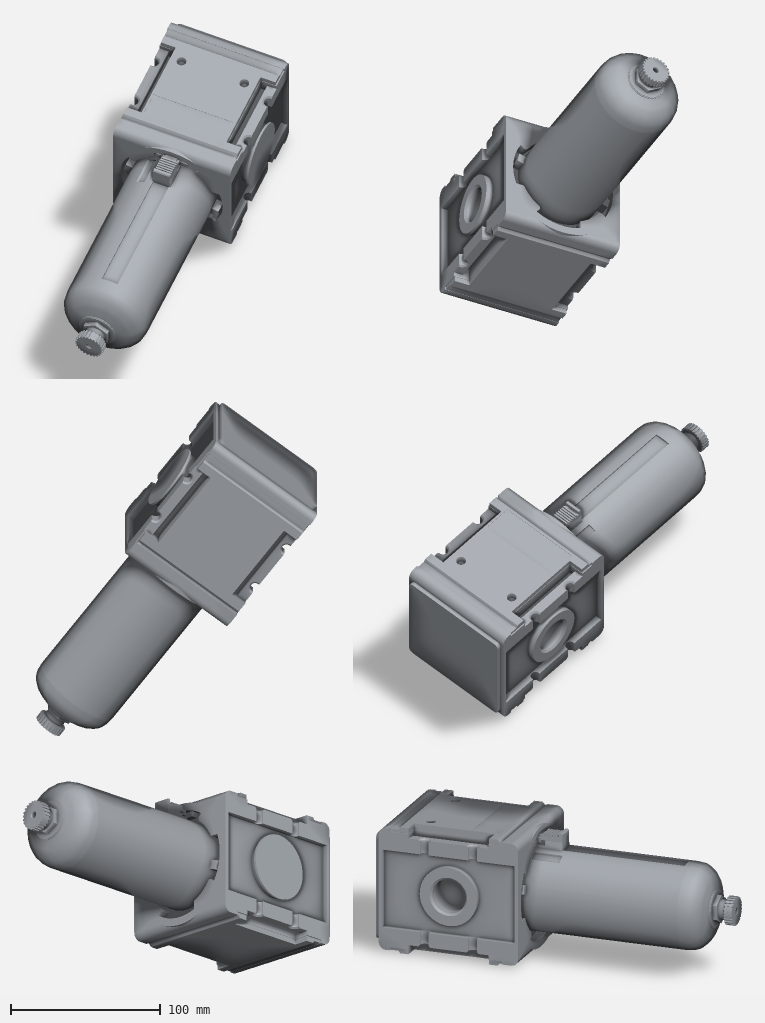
import cadquery as cq
import math


HEAD_WIDTH = 85.0
HEAD_LENGTH = 99.9
HEAD_HEIGHT = 86.0
HEAD_EDGE_RADIUS = 5.0
FRONT_BULGE_RADIUS = HEAD_WIDTH / 2

COVER_TOP = 44.5
COVER_SEAT = 40.8
COVER_INSET = 0.85
COVER_FRONT = 11.7
COVER_BACK = 92.0
COVER_LEDGE = 42.8
COVER_VALLEY = 42.5
FRONT_VALLEY_Y = 13.1
FRONT_CREST_Y = 15.0
BACK_CREST_Y = 84.8
BACK_LEDGE_Y = 86.0

BACK_PLATE_WIDTH = 80.2
BACK_PLATE_HEIGHT = 74.4
BACK_PLATE_THICKNESS = 3.0
BACK_PLATE_RADIUS = 3.6

LABEL_WIDTH = 58.3
LABEL_FRONT = 17.0
LABEL_LENGTH = 20.7
LABEL_DEPTH = 0.2

DIMPLE_DIAMETER = 6.5
DIMPLE_BOTTOM_DIAMETER = 4.9
DIMPLE_DEPTH = 3.6
DIMPLE_X = 22.8
DIMPLE_Y = 70.0

PORT_Y = HEAD_LENGTH / 2
SIDE_RECESS_DEPTH = 4.5
SIDE_RECESS_FRONT = 2.7
SIDE_RECESS_BACK = 97.2
SIDE_RECESS_HEIGHT = 55.2
PORT_BOSS_DIAMETER = 41.0
PORT_MOUTH_DIAMETER = 27.0
PORT_DIAMETER = 24.0
PORT_DEPTH = 15.8
SIDE_DISC_DIAMETER = 45.0
SIDE_DISC_THICKNESS = 1.5

CLAMP_LENGTH = 57.3
CLAMP_FLOOR = 37.7
CLAMP_INNER_X = 31.0
CLAMP_LIP_X = 35.7
CLAMP_GROOVE_DEPTH = 5.8
CLAMP_COVER_CLEARANCE = 0.2
BOLT_DIAMETER = 6.5
BOLT_MOUTH_DIAMETER = 8.7
BOLT_X = 41.8
BOLT_SPACING = 34.5

SOCKET_DEPTH = 7.3
SOCKET_DIAMETER = 63.7
BAYONET_RADIUS = 37.2
BAYONET_COUNT = 4
BAYONET_START_Z = 13.1
BAYONET_HOOK_X = 29.0
BAYONET_HOOK_Z = -17.3
BAYONET_END_ANGLE = -32.0

BOWL_RADIUS = 60.0 / 2
BOWL_STRAIGHT_END = -108.5
BOWL_NOSE_DIAMETER = 27.0
DOME_POINTS = [(28.2, -116.6), (21.9, -122.5)]
DOME_END = -125.1
DOME_TANGENTS = [(0, -1), (-1, -0.3)]
BOWL_END = -125.6

WINDOW_WIDTH = 11.5
WINDOW_FLOOR = 28.2
WINDOW_END = -105.0
KEYWAY_OUTER_X = -17.3
KEYWAY_SHELF_X = -15.8
KEYWAY_WALL_X = -11.2
KEYWAY_SHELF_Z = 24.5
KEYWAY_WALL_FOOT_Z = 26.5
KEYWAY_LENGTH = 20.0
STOP_ANGLES = (166, -14)
STOP_WIDTH = 6.3
STOP_RADIUS = 34.7
STOP_ROOT = 2.5
STOP_PROJECTION = 1.0

LATCH_WIDTH = 11.7
LATCH_FRONT = -17.7
LATCH_SEAT = 35.0
LATCH_DECK = 38.0
LATCH_LIP_TOP = 41.0
LATCH_LIP_LENGTH = 2.5
LATCH_TONGUE_LENGTH = 2.2
LATCH_TONGUE_BOTTOM = 33.0
LATCH_WING_BOTTOM = 31.3
LATCH_LIP_CHAMFER = 0.7
LATCH_NECK_WIDTH = 8.3
LATCH_SHOULDER_Z = 37.0
LATCH_WING_SPAN = 22.8
LATCH_WING_LENGTH = 4.9
LATCH_SEAT_BASE_WIDTH = 14.0
SEAT_NOTCH_LENGTH = 5.3
SEAT_NOTCH_FLOOR = 31.0
SEAT_WEB_WIDTH = 7.8
RIB_COUNT = 6
RIB_PITCH = 1.82
RIB_WIDTH = 1.1
RIB_HEIGHT = 1.5
FIRST_RIB_Y = -3.5

COLLAR_DIAMETER = 25.8
COLLAR_END = -126.0
HEX_ACROSS_CORNERS = 20.0
HEX_END = -129.3
NECK_DIAMETER = 14.0
NECK_END = -133.2
WAIST_DIAMETER = 12.0
KNOB_START = -134.5
KNOB_END = -140.2
KNOB_DIAMETER = 20.0
KNURL_COUNT = 24
KNURL_DEPTH = 1.0
KNURL_WIDTH = 1.2
DRAIN_HOLE_DIAMETER = 4.0
DRAIN_MOUTH_DIAMETER = 4.9
DRAIN_HOLE_DEPTH = 4.9


def block(x0, x1, y0, y1, z0, z1):
    """Box between opposite corners."""
    return cq.Workplane("XY").box(x1 - x0, y1 - y0, z1 - z0, centered=False).translate((x0, y0, z0))


def centred_block(width, y0, y1, z0, z1):
    """Box that is symmetric about X = 0."""
    return block(-width / 2, width / 2, y0, y1, z0, z1)


def rod_along_y(diameter, y0, y1):
    """Cylinder on the bowl axis."""
    solid = cq.Solid.makeCylinder(diameter / 2, y1 - y0, cq.Vector(0, y0, 0), cq.Vector(0, 1, 0))
    return cq.Workplane(solid)


def rod_along_x(diameter, x0, x1):
    """Cylinder on the port axis."""
    start = cq.Vector(x0, PORT_Y, 0)
    solid = cq.Solid.makeCylinder(diameter / 2, x1 - x0, start, cq.Vector(1, 0, 0))
    return cq.Workplane(solid)


def cone(start_diameter, end_diameter, length, start, direction):
    """Truncated cone for tapered holes and chamfered mouths."""
    return cq.Workplane(cq.Solid.makeCone(start_diameter / 2, end_diameter / 2, length, start, direction))


def turned_about_bowl(shape, angle):
    """Turn about the bowl axis, from +X towards +Z for a positive angle."""
    return shape.rotate((0, 0, 0), (0, -1, 0), angle)


def mirrored_in_x(shape):
    return shape.union(shape.mirror("YZ"))


def mirrored_in_z(shape):
    return shape.union(shape.mirror("XY"))


def head_block():
    """Rounded block with the bulge that carries the socket through the front roundings."""
    body = centred_block(HEAD_WIDTH, 0, HEAD_LENGTH, -HEAD_HEIGHT / 2, HEAD_HEIGHT / 2)
    body = body.edges("|X").fillet(HEAD_EDGE_RADIUS)
    return body.union(rod_along_y(2 * FRONT_BULGE_RADIUS, 0, HEAD_EDGE_RADIUS))


def cover_seat():
    return centred_block(HEAD_WIDTH, COVER_FRONT, COVER_BACK, COVER_SEAT, HEAD_HEIGHT / 2)


def cover():
    """Raised cover area of the upper face, slightly narrower than the block."""
    profile = [
        (COVER_FRONT, COVER_SEAT),
        (COVER_FRONT, HEAD_HEIGHT / 2),
        (FRONT_VALLEY_Y, COVER_VALLEY),
        (FRONT_CREST_Y, COVER_TOP),
        (BACK_CREST_Y, COVER_TOP),
        (BACK_LEDGE_Y, COVER_LEDGE),
        (COVER_BACK, COVER_LEDGE),
        (COVER_BACK, COVER_SEAT),
    ]
    half_width = HEAD_WIDTH / 2 - COVER_INSET
    return cq.Workplane("YZ").polyline(profile).close().extrude(half_width, both=True)


def back_plate():
    end = HEAD_LENGTH + BACK_PLATE_THICKNESS
    plate = centred_block(BACK_PLATE_WIDTH, HEAD_LENGTH, end, -BACK_PLATE_HEIGHT / 2, BACK_PLATE_HEIGHT / 2)
    return plate.edges("|Y").fillet(BACK_PLATE_RADIUS)


def side_recess():
    """Shallow recess of the +X face, which leaves the round port boss standing."""
    floor = HEAD_WIDTH / 2 - SIDE_RECESS_DEPTH
    half_height = SIDE_RECESS_HEIGHT / 2
    recess = block(floor, HEAD_WIDTH / 2, SIDE_RECESS_FRONT, SIDE_RECESS_BACK, -half_height, half_height)
    return recess.cut(rod_along_x(PORT_BOSS_DIAMETER, floor, HEAD_WIDTH / 2))


def port():
    """Blind port of the -X face with its chamfered mouth."""
    face = -HEAD_WIDTH / 2
    chamfer = (PORT_MOUTH_DIAMETER - PORT_DIAMETER) / 2
    mouth = cone(PORT_MOUTH_DIAMETER, PORT_DIAMETER, chamfer, cq.Vector(face, PORT_Y, 0), cq.Vector(1, 0, 0))
    return rod_along_x(PORT_DIAMETER, face, face + PORT_DEPTH).union(mouth)


def clamp_notch():
    """Notch with an undercut groove and two bolt channels at the upper +X edge."""
    y0 = PORT_Y - CLAMP_LENGTH / 2
    y1 = PORT_Y + CLAMP_LENGTH / 2
    gap = CLAMP_COVER_CLEARANCE
    notch = block(CLAMP_INNER_X, HEAD_WIDTH / 2, y0, y1, CLAMP_FLOOR, COVER_TOP)
    notch = notch.union(block(CLAMP_INNER_X - gap, HEAD_WIDTH / 2, y0 - gap, y1 + gap, COVER_SEAT, COVER_TOP))
    groove = block(CLAMP_INNER_X, CLAMP_LIP_X, y0, y1, CLAMP_FLOOR - CLAMP_GROOVE_DEPTH, CLAMP_FLOOR)
    notch = notch.union(groove)
    channel_length = CLAMP_FLOOR - SIDE_RECESS_HEIGHT / 2
    chamfer = (BOLT_MOUTH_DIAMETER - BOLT_DIAMETER) / 2
    down = cq.Vector(0, 0, -1)
    for side in (-1, 1):
        start = cq.Vector(BOLT_X, PORT_Y + side * BOLT_SPACING / 2, CLAMP_FLOOR)
        channel = cq.Solid.makeCylinder(BOLT_DIAMETER / 2, channel_length, start, down)
        notch = notch.union(cq.Workplane(channel))
        notch = notch.union(cone(BOLT_MOUTH_DIAMETER, BOLT_DIAMETER, chamfer, start, down))
    return notch


def dimple():
    """Tapered blind hole of the upper cover."""
    start = cq.Vector(DIMPLE_X, DIMPLE_Y, COVER_TOP)
    return cone(DIMPLE_DIAMETER, DIMPLE_BOTTOM_DIAMETER, DIMPLE_DEPTH, start, cq.Vector(0, 0, -1))


def bayonet_opening():
    """Opening beside the socket on the +X side, with a hooked lower end."""
    start_x = math.sqrt(BAYONET_RADIUS**2 - BAYONET_START_Z**2)
    end = math.radians(BAYONET_END_ANGLE)
    end_point = (BAYONET_RADIUS * math.cos(end), BAYONET_RADIUS * math.sin(end))
    outline = (
        cq.Workplane("XZ")
        .moveTo(0, BAYONET_START_Z)
        .lineTo(start_x, BAYONET_START_Z)
        .threePointArc((BAYONET_RADIUS, 0), end_point)
        .lineTo(BAYONET_HOOK_X, BAYONET_HOOK_Z)
        .lineTo(0, BAYONET_HOOK_Z)
        .close()
    )
    return outline.extrude(-SOCKET_DEPTH)


def socket():
    cutter = rod_along_y(SOCKET_DIAMETER, 0, SOCKET_DEPTH)
    for index in range(BAYONET_COUNT):
        cutter = cutter.union(turned_about_bowl(bayonet_opening(), index * 360 / BAYONET_COUNT))
    return cutter


def make_head():
    label = centred_block(
        LABEL_WIDTH, LABEL_FRONT, LABEL_FRONT + LABEL_LENGTH, COVER_TOP - LABEL_DEPTH, COVER_TOP
    )
    disc = rod_along_x(SIDE_DISC_DIAMETER, HEAD_WIDTH / 2, HEAD_WIDTH / 2 + SIDE_DISC_THICKNESS)
    return (
        head_block()
        .cut(mirrored_in_z(cover_seat()))
        .union(mirrored_in_z(cover()))
        .union(back_plate())
        .cut(mirrored_in_x(side_recess()))
        .cut(mirrored_in_z(mirrored_in_x(clamp_notch())))
        .cut(port())
        .union(disc)
        .cut(label)
        .cut(mirrored_in_x(dimple()))
        .cut(socket())
    )


def bowl_shell():
    """Straight barrel with a domed end and a flat nose for the drain screw."""
    nose_radius = BOWL_NOSE_DIAMETER / 2
    return (
        cq.Workplane("XY")
        .moveTo(0, SOCKET_DEPTH)
        .lineTo(BOWL_RADIUS, SOCKET_DEPTH)
        .lineTo(BOWL_RADIUS, BOWL_STRAIGHT_END)
        .spline([*DOME_POINTS, (nose_radius, DOME_END)], tangents=DOME_TANGENTS, includeCurrent=True)
        .lineTo(nose_radius, BOWL_END)
        .lineTo(0, BOWL_END)
        .close()
        .revolve(360, (0, 0, 0), (0, 1, 0))
    )


def window_groove():
    return centred_block(WINDOW_WIDTH, WINDOW_END, LATCH_FRONT, WINDOW_FLOOR, BOWL_RADIUS)


def keyway():
    """Short groove with a narrow shelf, a sloping floor and an upright wall."""
    profile = [
        (KEYWAY_OUTER_X, KEYWAY_SHELF_Z),
        (KEYWAY_SHELF_X, KEYWAY_SHELF_Z),
        (KEYWAY_WALL_X, KEYWAY_WALL_FOOT_Z),
        (KEYWAY_WALL_X, BOWL_RADIUS),
        (KEYWAY_OUTER_X, BOWL_RADIUS),
    ]
    return cq.Workplane("XZ").polyline(profile).close().extrude(KEYWAY_LENGTH)


def bowl_stop(angle):
    """Small bayonet stop that stands in an opening of the head."""
    half_width = STOP_WIDTH / 2
    inner = BOWL_RADIUS - STOP_ROOT
    stop = block(inner, STOP_RADIUS, -STOP_PROJECTION, SOCKET_DEPTH, -half_width, half_width)
    return turned_about_bowl(stop, angle)


def latch_tongue():
    """Rear end of the latch that steps down into its seat."""
    return centred_block(LATCH_WIDTH, -LATCH_TONGUE_LENGTH, 0, LATCH_TONGUE_BOTTOM, LATCH_SEAT)


def latch_seat():
    """Pedestal with sloping sides that carries the latch, notched beside and below the latch tongue."""
    profile = [
        (-LATCH_SEAT_BASE_WIDTH / 2, WINDOW_FLOOR),
        (LATCH_SEAT_BASE_WIDTH / 2, WINDOW_FLOOR),
        (LATCH_WIDTH / 2, LATCH_SEAT),
        (-LATCH_WIDTH / 2, LATCH_SEAT),
    ]
    pedestal = cq.Workplane("XZ").polyline(profile).close().extrude(-LATCH_FRONT)
    side_notches = centred_block(LATCH_SEAT_BASE_WIDTH, -SEAT_NOTCH_LENGTH, 0, SEAT_NOTCH_FLOOR, LATCH_SEAT)
    side_notches = side_notches.cut(
        centred_block(SEAT_WEB_WIDTH, -SEAT_NOTCH_LENGTH, 0, SEAT_NOTCH_FLOOR, LATCH_SEAT)
    )
    return pedestal.cut(side_notches).cut(latch_tongue())


def make_bowl():
    bowl = bowl_shell().cut(window_groove()).cut(keyway()).union(latch_seat())
    for angle in STOP_ANGLES:
        bowl = bowl.union(bowl_stop(angle))
    return bowl


def make_latch():
    """Ribbed slide with a front lip, and wings behind the face of the head."""
    deck = centred_block(LATCH_WIDTH, LATCH_FRONT, 0, LATCH_SEAT, LATCH_DECK)
    lip_end = LATCH_FRONT + LATCH_LIP_LENGTH
    lip = centred_block(LATCH_WIDTH, LATCH_FRONT, lip_end, LATCH_DECK, LATCH_LIP_TOP)
    lip = lip.faces("<Y").edges(">Z").chamfer(LATCH_LIP_CHAMFER)
    shoulders = centred_block(LATCH_WIDTH, FIRST_RIB_Y, 0, LATCH_SHOULDER_Z, LATCH_DECK)
    neck = centred_block(LATCH_NECK_WIDTH, FIRST_RIB_Y, 0, LATCH_SHOULDER_Z, LATCH_DECK)
    deck = deck.cut(shoulders).union(neck)
    wings = centred_block(LATCH_WING_SPAN, 0, LATCH_WING_LENGTH, LATCH_WING_BOTTOM, LATCH_SEAT)
    latch = deck.union(lip).union(latch_tongue()).union(wings)
    for index in range(RIB_COUNT):
        rib_y = FIRST_RIB_Y - index * RIB_PITCH
        rib = centred_block(LATCH_WIDTH, rib_y - RIB_WIDTH, rib_y, LATCH_DECK, LATCH_DECK + RIB_HEIGHT)
        latch = latch.union(rib)
    return latch


def drain_hex():
    """Hexagon with its corners up and down."""
    hexagon = cq.Workplane("XZ", origin=(0, COLLAR_END, 0)).polygon(6, HEX_ACROSS_CORNERS)
    return turned_about_bowl(hexagon.extrude(COLLAR_END - HEX_END), 90)


def knurled_knob():
    knob = rod_along_y(KNOB_DIAMETER, KNOB_END, KNOB_START)
    root = KNOB_DIAMETER / 2 - KNURL_DEPTH
    groove = block(root, KNOB_DIAMETER, KNOB_END, KNOB_START, -KNURL_WIDTH / 2, KNURL_WIDTH / 2)
    for index in range(KNURL_COUNT):
        knob = knob.cut(turned_about_bowl(groove, index * 360 / KNURL_COUNT))
    return knob


def make_drain_screw():
    hole_bottom = KNOB_END + DRAIN_HOLE_DEPTH
    chamfer = (DRAIN_MOUTH_DIAMETER - DRAIN_HOLE_DIAMETER) / 2
    mouth = cone(
        DRAIN_MOUTH_DIAMETER, DRAIN_HOLE_DIAMETER, chamfer, cq.Vector(0, KNOB_END, 0), cq.Vector(0, 1, 0)
    )
    return (
        rod_along_y(COLLAR_DIAMETER, COLLAR_END, BOWL_END)
        .union(drain_hex())
        .union(rod_along_y(NECK_DIAMETER, NECK_END, HEX_END))
        .union(rod_along_y(WAIST_DIAMETER, KNOB_START, NECK_END))
        .union(knurled_knob())
        .cut(rod_along_y(DRAIN_HOLE_DIAMETER, KNOB_END, hole_bottom))
        .cut(mouth)
    )


head = make_head()
bowl = make_bowl()
latch = make_latch()
drain_screw = make_drain_screw()

bodies = [head, bowl, latch, drain_screw]
result = cq.Compound.makeCompound([body.solids().val() for body in bodies])